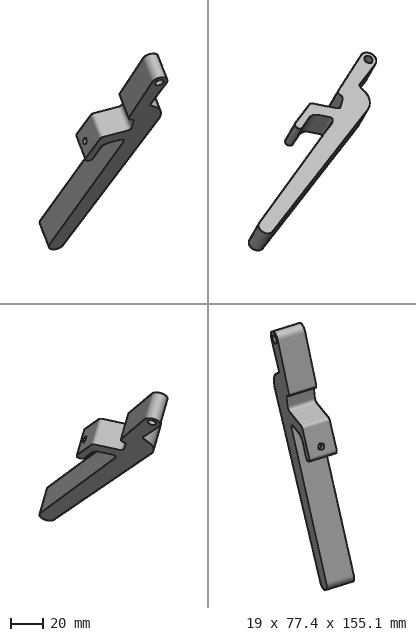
import cadquery as cq
import math

width = 19.0
pivot_hole_diameter = 5.5
hook_hole_diameter = 4.0
hook_hole_height = -56.0

ledge_height = -42.5
slot_height = -50.4
lever_bottom = -149.8
lever_front = 72.1

pivot_radius = 5.3
ledge_root_radius = 2.8
hook_corner_radius = 2.6
hook_tip_radius = 2.6
hook_inner_radius = 7.0
slot_root_radius = 2.2
handle_end_radius = 5.0

shortest_edge = 0.002

OUTER = 1
INNER = -1

nose_centre = (17.8, -29.6)
notch_centre = (19.4, -34.1)
nose_radius = 2.2
notch_radius = math.dist(nose_centre, notch_centre) - nose_radius

hook_corner = (36.5, ledge_height - hook_corner_radius, hook_corner_radius, OUTER)
hook_tip = (45.6, -61.4, hook_tip_radius, OUTER)

rounds = [
    (0, 0, pivot_radius, OUTER),
    (*nose_centre, nose_radius, OUTER),
    (*notch_centre, notch_radius, INNER),
    (20.8, ledge_height + ledge_root_radius, ledge_root_radius, INNER),
    hook_corner,
    hook_tip,
    (32.7, slot_height - hook_inner_radius, hook_inner_radius, INNER),
    (25.5, slot_height - slot_root_radius, slot_root_radius, INNER),
    (lever_front - handle_end_radius, lever_bottom + handle_end_radius, handle_end_radius, OUTER),
    (9.8, -33.2, 10.9, OUTER),
    (4.2, -21.2, 1.7, INNER),
]


def point_on_round(circle, angle):
    forward, height, radius, _ = circle
    return (forward + radius * math.cos(angle), height + radius * math.sin(angle))


def tangent_line(first, second):
    """Start, end and heading of the straight edge leaving one round for the next."""
    run = second[0] - first[0]
    rise = second[1] - first[1]
    first_offset = first[2] * first[3]
    second_offset = second[2] * second[3]
    sine = (second_offset - first_offset) / math.hypot(run, rise)
    taper = math.asin(max(-1, min(1, sine)))
    heading = math.atan2(rise, run) + taper
    start = point_on_round(first, heading + first[3] * math.pi / 2)
    end = point_on_round(second, heading + second[3] * math.pi / 2)
    return start, end, heading


def lever_profile():
    """Closed outline of straight edges tangent to successive rounds."""
    edges = [tangent_line(a, b) for a, b in zip(rounds, rounds[1:] + rounds[:1])]
    incoming = edges[-1]
    outline = cq.Workplane("YZ", origin=(-width / 2, 0, 0)).moveTo(-incoming[1][0], incoming[1][1])
    for circle, edge in zip(rounds, edges):
        kind = circle[3]
        turn = (kind * (incoming[2] - edge[2])) % (2 * math.pi)
        middle_heading = incoming[2] - kind * turn / 2
        middle = point_on_round(circle, middle_heading + kind * math.pi / 2)
        start, end, _ = edge
        outline = outline.threePointArc((-middle[0], middle[1]), (-start[0], start[1]))
        if math.dist(start, end) > shortest_edge:
            outline = outline.lineTo(-end[0], end[1])
        incoming = edge
    return outline.close()


def pivot_hole():
    return cq.Workplane("YZ").circle(pivot_hole_diameter / 2).extrude(width, both=True)


def hook_hole():
    """Hole through the hook finger, square to its sloping front face."""
    start, end, heading = tangent_line(hook_corner, hook_tip)
    fraction = (hook_hole_height - start[1]) / (end[1] - start[1])
    forward = start[0] + fraction * (end[0] - start[0])
    inward = cq.Vector(0, -math.sin(heading), -math.cos(heading))
    centre = cq.Vector(0, -forward, hook_hole_height)
    drill_start = centre - inward * hook_tip_radius
    drill_length = 4 * hook_tip_radius
    return cq.Solid.makeCylinder(hook_hole_diameter / 2, drill_length, drill_start, inward)


result = lever_profile().extrude(width).cut(pivot_hole()).cut(hook_hole())